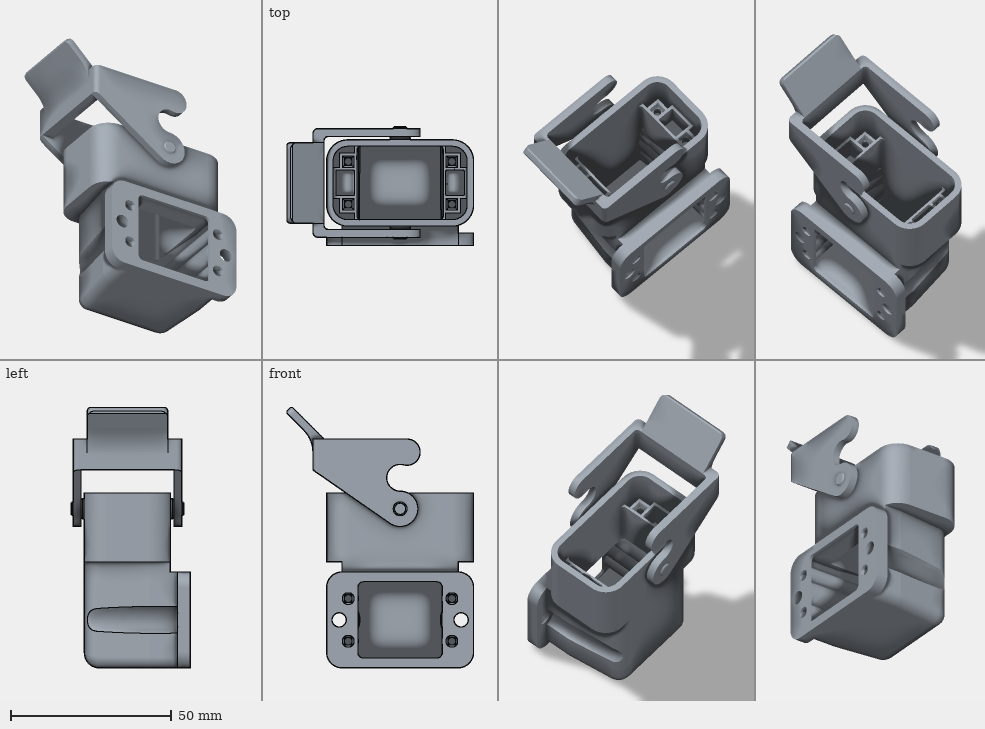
import cadquery as cq
import math

SHELL_LENGTH = 45.9
SHELL_WIDTH = 27.0
SHELL_RADIUS = 6.7
SHELL_TOP = 54.6
SHELL_BOTTOM = 33.1
WALL = 2.0

FLANGE_FRONT = -19.6
FLANGE_THICKNESS = 4.0
FLANGE_HEIGHT = 30.0
FLANGE_RADIUS = 4.9
FLANGE_MID = FLANGE_HEIGHT / 2
FLANGE_BACK = FLANGE_FRONT + FLANGE_THICKNESS

BODY_HALF_FRONT = 18.2
BODY_HALF_BACK = 15.9
TAPER_START = -6.9
BODY_BACK_RADIUS = 4.8
BODY_BOTTOM_RADIUS = 3.25

MOUNT_HOLE_X = 19.0
MOUNT_HOLE_DIAMETER = 4.4
GROOVE_RADIUS_FRONT = 4.2
GROOVE_RADIUS_BACK = 4.5
GROOVE_WALL = 2.0

SCREW_X = 16.2
SCREW_OFFSET = 6.7
SCREW_DIAMETER = 2.4
SCREW_MOUTH_DIAMETER = 3.7
SCREW_MOUTH_SQUARE = 3.6
SCREW_MOUTH_DEPTH = 1.6
SCREW_DEPTH = 4.9
SCREW_BOSS_RADIUS = 3.2

LEDGE_Z = 44.1
WELL_HALF_LENGTH = 13.5
WELL_RADIUS = 1.3
CAVITY_SIDE_WALL = 2.8
CAVITY_BOTTOM = 2.8
CAVITY_TOP = 27.5
WINDOW_LENGTH = 26.2
WINDOW_HEIGHT = 23.8
WINDOW_RADIUS = 1.6
WINDOW_LIP = 1.0
RIB = 0.9
POCKET_CORNER = 0.4
POCKET_FLOOR = SHELL_BOTTOM + WALL
POCKET_INNER_X = 14.2
CENTER_POCKET_WIDTH = 8.0

PIN_Z = 49.65
PIN_DIAMETER = 4.3
PIN_END_Y = 17.55
PIN_CHAMFER = 0.4
COLLAR_DIAMETER = 6.4
COLLAR_CHAMFER = 0.4

LEVER_LEFT = -27.2
LEVER_TOP = 71.4
LEVER_HALF_WIDTH = 17.0
ARM_THICKNESS = 2.5
BRIDGE_THICKNESS = 3.5
BRIDGE_BOTTOM = 61.75
LEVER_OUTER_RADIUS = 1.6
LEVER_INNER_RADIUS = 1.3
PIVOT_RADIUS = 5.5
NOTCH_RADIUS = 4.15
HOOK_RADIUS = 4.4
HOOK_X = 1.9
HANDLE_WIDTH = 25.2
HANDLE_ANGLE = 45
HANDLE_BEND_RADIUS = 9.75
HANDLE_BEND_START = 67.3
HANDLE_TOP = 81.25
HANDLE_TIP_X = -35.35
HANDLE_CORNER_RADIUS = 2.0
HANDLE_TIP_FLAT = 0.65

SIDES = (-1, 1)
SHELL_HALF_WIDTH = SHELL_WIDTH / 2
ARM_INNER_Y = LEVER_HALF_WIDTH - ARM_THICKNESS
CAVITY_BACK = SHELL_HALF_WIDTH - WALL


def rounded_box(length, width, radius, bottom, top):
    """Box around the Z axis with rounded vertical edges."""
    box = cq.Workplane("XY").workplane(offset=bottom).rect(length, width).extrude(top - bottom)
    return box.edges("|Z").fillet(radius)


def box_between(x_range, y_range, z_range):
    """Box given by its two limits along each axis."""
    low, high = zip(x_range, y_range, z_range)
    size = [b - a for a, b in zip(low, high)]
    return cq.Workplane("XY").box(*size, centered=False).translate(low)


def y_cone(x, z, y_start, radius_start, y_end, radius_end):
    """Round bar along Y, with a radius given at each end."""
    outline = [(0, y_start), (radius_start, y_start), (radius_end, y_end), (0, y_end)]
    return cq.Workplane("XY").polyline(outline).close().revolve(360, (0, 0), (0, 1)).translate((x, 0, z))


def trunk(side_wall, front, back, bottom, top):
    """Column on the body's tapering plan, with its sides moved inwards by `side_wall`."""
    half_front = BODY_HALF_FRONT - side_wall
    half_back = BODY_HALF_BACK - side_wall
    right_side = [(half_front, front), (half_front, TAPER_START), (half_back, back)]
    left_side = [(-x, y) for x, y in reversed(right_side)]
    plan = cq.Workplane("XY").workplane(offset=bottom).polyline(right_side + left_side)
    return plan.close().extrude(top - bottom)


def lower_body():
    """Elbow below the shell: upright column plus a block that reaches forward to the flange."""
    body = trunk(0, FLANGE_BACK, SHELL_HALF_WIDTH, 0, SHELL_BOTTOM)
    body = body.edges(">Y and (not >Z)").fillet(BODY_BACK_RADIUS)
    body = body.faces("<Z").edges("not (>Y or <Y)").fillet(BODY_BOTTOM_RADIUS)
    upright = rounded_box(SHELL_LENGTH, SHELL_WIDTH, SHELL_RADIUS, 0, SHELL_BOTTOM)
    forward = box_between((-SHELL_LENGTH, SHELL_LENGTH), (FLANGE_BACK, 0), (0, FLANGE_HEIGHT))
    body = body.intersect(upright.union(forward))
    joint = box_between(
        (-BODY_HALF_FRONT, BODY_HALF_FRONT), (FLANGE_FRONT, FLANGE_BACK), (FLANGE_MID, FLANGE_HEIGHT)
    )
    return body.union(joint)


def screw_grooves(front, extra_radius):
    """Tapered bars in line with the mounting holes, enlarged by `extra_radius`."""
    bars = cq.Workplane("XY")
    for side in SIDES:
        bars = bars.union(
            y_cone(
                side * MOUNT_HOLE_X,
                FLANGE_MID,
                front,
                GROOVE_RADIUS_FRONT + extra_radius,
                SHELL_HALF_WIDTH,
                GROOVE_RADIUS_BACK + extra_radius,
            )
        )
    return bars


def flange():
    """Rounded mounting plate."""
    plate = box_between(
        (-SHELL_LENGTH / 2, SHELL_LENGTH / 2), (FLANGE_FRONT, FLANGE_BACK), (0, FLANGE_HEIGHT)
    )
    return plate.edges("|Y").fillet(FLANGE_RADIUS)


def mount_holes():
    """Round holes through the flange."""
    holes = cq.Workplane("XY")
    radius = MOUNT_HOLE_DIAMETER / 2
    for side in SIDES:
        holes = holes.union(
            y_cone(side * MOUNT_HOLE_X, FLANGE_MID, FLANGE_FRONT, radius, FLANGE_BACK, radius)
        )
    return holes


def screw_places(middle):
    """Centers of four insert screws in a face, `middle` being the level of the pair's midpoint."""
    return [(x, middle + offset) for x in (-SCREW_X, SCREW_X) for offset in (-SCREW_OFFSET, SCREW_OFFSET)]


def screw_holes(plane, face_offset, middle):
    """Four blind round holes with a tapered square mouth, sunk into a face parallel to `plane`."""
    taper = math.degrees(math.atan2((SCREW_MOUTH_SQUARE - SCREW_DIAMETER) / 2, SCREW_MOUTH_DEPTH))
    face = cq.Workplane(plane).workplane(offset=face_offset).pushPoints(screw_places(middle))
    mouths = face.rect(SCREW_MOUTH_SQUARE, SCREW_MOUTH_SQUARE).extrude(-SCREW_MOUTH_DEPTH, taper=taper)
    return mouths.union(face.circle(SCREW_DIAMETER / 2).extrude(-SCREW_DEPTH))


def ledge_screw_holes():
    """Insert screw holes in the ledge, with plain square mouths."""
    return screw_holes("XY", LEDGE_Z, 0)


def flange_screw_holes():
    """Insert screw holes in the flange, with the corners of each mouth cut round."""
    holes = screw_holes("XZ", -FLANGE_FRONT, FLANGE_MID)
    limits = cq.Workplane("XY")
    radius = SCREW_MOUTH_DIAMETER / 2
    for x, z in screw_places(FLANGE_MID):
        limits = limits.union(y_cone(x, z, FLANGE_FRONT, radius, FLANGE_FRONT + SCREW_DEPTH, radius))
    return holes.intersect(limits)


def inner_room(bottom, top):
    """Space bounded by the inner face of the shell's wall, between two levels."""
    return rounded_box(SHELL_LENGTH - 2 * WALL, SHELL_WIDTH - 2 * WALL, SHELL_RADIUS - WALL, bottom, top)


def ledge_pockets():
    """Pockets in the ledge: one between each pair of screw holes and one in each corner."""
    height = (POCKET_FLOOR, LEDGE_Z)
    outer_x = SHELL_LENGTH / 2 - WALL
    center_half = CENTER_POCKET_WIDTH / 2
    room = inner_room(*height)
    center = box_between((POCKET_INNER_X, outer_x - RIB), (-center_half, center_half), height)
    pockets = center.edges("|Z").fillet(POCKET_CORNER)
    for side in SIDES:
        corner_y = sorted((side * (center_half + RIB), side * SHELL_WIDTH))
        corner = room.intersect(box_between((POCKET_INNER_X, SHELL_LENGTH), corner_y, height))
        block_side = SCREW_MOUTH_SQUARE + 2 * RIB
        block = box_between((0, block_side), (0, block_side), height).translate(
            (SCREW_X - block_side / 2, side * SCREW_OFFSET - block_side / 2, 0)
        )
        pockets = pockets.union(corner.cut(block))
    return pockets.union(pockets.mirror("YZ"))


def lower_cavity():
    """Space inside the elbow, with its walls bulging in around the screws and grooves."""
    front = FLANGE_FRONT + WINDOW_LIP
    cavity = trunk(CAVITY_SIDE_WALL, front, CAVITY_BACK, CAVITY_BOTTOM, CAVITY_TOP)
    cavity = cavity.cut(screw_grooves(FLANGE_FRONT, GROOVE_WALL))
    for x, z in screw_places(FLANGE_MID):
        boss = y_cone(x, z, FLANGE_FRONT, SCREW_BOSS_RADIUS, CAVITY_BACK, SCREW_BOSS_RADIUS)
        cavity = cavity.cut(boss)
    return cavity


def window():
    """Rounded opening through the lip at the front of the flange."""
    opening = cq.Workplane("XZ").center(0, FLANGE_MID).rect(WINDOW_LENGTH, WINDOW_HEIGHT)
    opening = opening.extrude(WINDOW_LIP).edges("|Y").fillet(WINDOW_RADIUS)
    return opening.translate((0, FLANGE_FRONT + WINDOW_LIP, 0))


def pivot_pins():
    """Collared pins on both sides of the shell, along Y, rooted halfway into its wall."""
    root = SHELL_HALF_WIDTH - WALL / 2
    base = cq.Workplane("XY").workplane(offset=root)
    collar = base.circle(COLLAR_DIAMETER / 2).extrude(ARM_INNER_Y - root)
    collar = collar.faces(">Z").chamfer(COLLAR_CHAMFER)
    pin = base.circle(PIN_DIAMETER / 2).extrude(PIN_END_Y - root)
    pin = pin.faces(">Z").chamfer(PIN_CHAMFER).union(collar)
    pins = cq.Workplane("XY")
    for side in SIDES:
        pins = pins.union(pin.rotate((0, 0, 0), (1, 0, 0), -90 * side).translate((0, 0, PIN_Z)))
    return pins


def make_housing():
    shell = rounded_box(SHELL_LENGTH, SHELL_WIDTH, SHELL_RADIUS, SHELL_BOTTOM, SHELL_TOP)
    well = rounded_box(2 * WELL_HALF_LENGTH, 2 * CAVITY_BACK, WELL_RADIUS, CAVITY_TOP, LEDGE_Z)
    elbow = lower_body().cut(screw_grooves(FLANGE_BACK, 0))
    housing = shell.union(elbow).union(flange()).union(pivot_pins())
    housing = housing.cut(inner_room(LEDGE_Z, SHELL_TOP)).cut(well).cut(lower_cavity()).cut(window())
    housing = housing.cut(ledge_pockets()).cut(ledge_screw_holes())
    return housing.cut(mount_holes()).cut(flange_screw_holes())


def lever_side_profile():
    """Side outline of the lever arms: hook, notch and pivot lobe drawn as joined arcs."""
    notch_z = PIN_Z + PIVOT_RADIUS + NOTCH_RADIUS
    hook_z = LEVER_TOP - HOOK_RADIUS
    reach = math.hypot(HOOK_X, hook_z - notch_z)
    junction = (HOOK_X * NOTCH_RADIUS / reach, notch_z + (hook_z - notch_z) * NOTCH_RADIUS / reach)
    run = -LEVER_LEFT
    rise = BRIDGE_BOTTOM - PIN_Z
    tangent_angle = math.atan2(rise, -run) + math.acos(PIVOT_RADIUS / math.hypot(run, rise))
    tangent = (PIVOT_RADIUS * math.cos(tangent_angle), PIN_Z + PIVOT_RADIUS * math.sin(tangent_angle))
    return (
        cq.Workplane("XZ")
        .moveTo(LEVER_LEFT, LEVER_TOP)
        .lineTo(HOOK_X, LEVER_TOP)
        .threePointArc((HOOK_X + HOOK_RADIUS, hook_z), junction)
        .threePointArc((-NOTCH_RADIUS, notch_z), (0, PIN_Z + PIVOT_RADIUS))
        .threePointArc((PIVOT_RADIUS, PIN_Z), tangent)
        .lineTo(LEVER_LEFT, BRIDGE_BOTTOM)
        .close()
    )


def lever_bracket():
    """U-shaped bracket: two arms joined by a bridge at -X."""
    bracket = lever_side_profile().extrude(LEVER_HALF_WIDTH, both=True)
    bracket = bracket.edges("|Z and <X").fillet(LEVER_OUTER_RADIUS)
    inner_left = LEVER_LEFT + BRIDGE_THICKNESS
    inner_y = (-ARM_INNER_Y, ARM_INNER_Y)
    gap = box_between((inner_left, SHELL_LENGTH), inner_y, (0, HANDLE_TOP))
    gap = gap.edges("|Z and <X").fillet(LEVER_INNER_RADIUS)
    below_bridge = box_between((LEVER_LEFT, SHELL_LENGTH), inner_y, (0, BRIDGE_BOTTOM))
    return bracket.cut(gap).cut(below_bridge)


def bend_point(degrees):
    """Point (x, z) on the rounded bend below the handle, `degrees` up from its start."""
    angle = math.radians(degrees)
    return (
        LEVER_LEFT - HANDLE_BEND_RADIUS + HANDLE_BEND_RADIUS * math.cos(angle),
        HANDLE_BEND_START + HANDLE_BEND_RADIUS * math.sin(angle),
    )


def handle():
    """Thumb plate rising at 45 degrees from the bridge, with chamfered and rounded tip."""
    inner_x = LEVER_LEFT + BRIDGE_THICKNESS
    bend_end = bend_point(HANDLE_ANGLE)
    lower_sum = sum(bend_end)
    upper_sum = inner_x + LEVER_TOP
    tip_corner_z = lower_sum - HANDLE_TIP_X
    tip_z = tip_corner_z + HANDLE_TIP_FLAT
    tip_difference = tip_z - HANDLE_TIP_X
    plate = (
        cq.Workplane("XZ")
        .moveTo(LEVER_LEFT, HANDLE_BEND_START)
        .threePointArc(bend_point(HANDLE_ANGLE / 2), bend_end)
        .lineTo(HANDLE_TIP_X, tip_corner_z)
        .lineTo(HANDLE_TIP_X, tip_z)
        .lineTo(HANDLE_TOP - tip_difference, HANDLE_TOP)
        .lineTo(upper_sum - HANDLE_TOP, HANDLE_TOP)
        .lineTo(inner_x, LEVER_TOP)
        .lineTo(inner_x, HANDLE_BEND_START)
        .close()
        .extrude(HANDLE_WIDTH / 2, both=True)
    )
    tip = cq.Plane(origin=(HANDLE_TIP_X, 0, tip_z), xDir=(0, 1, 0), normal=(1, 0, 1))
    outline = cq.Workplane(tip).center(0, -LEVER_TOP / 2).rect(HANDLE_WIDTH, LEVER_TOP)
    outline = outline.extrude(LEVER_TOP, both=True).edges("|(1, 0, 1)")
    return plate.intersect(outline.fillet(HANDLE_CORNER_RADIUS))


def make_lever():
    lever = lever_bracket().union(handle())
    bore = cq.Workplane("XZ").center(0, PIN_Z).circle(PIN_DIAMETER / 2).extrude(SHELL_LENGTH, both=True)
    return lever.cut(bore)


housing = make_housing()
lever = make_lever()
result = cq.Compound.makeCompound([housing.val(), lever.val()])